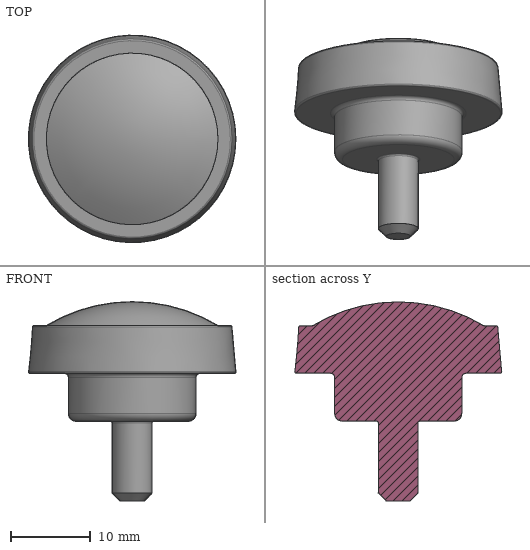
import cadquery as cq
import math

stud_diameter = 5.0
stud_length = 10.0
stud_tip_chamfer = 1.0
stud_root_fillet = 0.2

hub_diameter = 16.0
hub_height = 6.0
hub_edge_fillet = 1.0
hub_root_fillet = 0.5

head_bottom_diameter = 26.0
head_taper_degrees = 5.0
head_height = 6.0
head_edge_fillet = 0.2

cap_diameter = 21.5
cap_height = 3.0

hub_bottom = stud_length
head_bottom = hub_bottom + hub_height
head_top = head_bottom + head_height
cap_top = head_top + cap_height
stud_radius = stud_diameter / 2
hub_radius = hub_diameter / 2
cap_radius = cap_diameter / 2
cap_sphere_radius = (cap_radius**2 + cap_height**2) / (2 * cap_height)

taper_angle = math.radians(head_taper_degrees)
corner_angle = math.pi / 2 - taper_angle
rim_trim = head_edge_fillet * (1 / math.tan(corner_angle / 2) - 1)
head_bottom_radius = head_bottom_diameter / 2 + rim_trim
head_top_radius = head_bottom_radius - head_height * math.tan(taper_angle)


def revolve_about_z(profile):
    return profile.revolve(360, (0, 0), (0, 1))


def make_stud():
    stud = cq.Workplane("XY").circle(stud_radius).extrude(stud_length)
    return stud.faces("<Z").chamfer(stud_tip_chamfer)


def make_hub():
    hub = cq.Workplane("XY").workplane(offset=hub_bottom).circle(hub_radius).extrude(hub_height)
    return hub.faces("<Z").edges().fillet(hub_edge_fillet)


def make_head():
    profile = (
        cq.Workplane("XZ")
        .moveTo(0, head_bottom)
        .lineTo(head_bottom_radius, head_bottom)
        .lineTo(head_top_radius, head_top)
        .lineTo(0, head_top)
        .close()
    )
    head = revolve_about_z(profile)
    return head.faces("<Z or >Z").edges().fillet(head_edge_fillet)


def make_cap():
    """Spherical segment standing on the flat top of the head."""
    half_angle = math.asin(cap_radius / cap_sphere_radius) / 2
    sphere_center = cap_top - cap_sphere_radius
    arc_middle = (
        cap_sphere_radius * math.sin(half_angle),
        sphere_center + cap_sphere_radius * math.cos(half_angle),
    )
    profile = (
        cq.Workplane("XZ")
        .moveTo(0, head_top)
        .lineTo(cap_radius, head_top)
        .threePointArc(arc_middle, (0, cap_top))
        .close()
    )
    return revolve_about_z(profile)


def make_root_fillet(radius, level, fillet_radius):
    """Concave ring joining a shaft to the flat face above it."""
    toward_corner = fillet_radius * (1 - math.sqrt(0.5))
    profile = (
        cq.Workplane("XZ")
        .moveTo(0, level)
        .lineTo(radius + fillet_radius, level)
        .threePointArc(
            (radius + toward_corner, level - toward_corner),
            (radius, level - fillet_radius),
        )
        .lineTo(0, level - fillet_radius)
        .close()
    )
    return revolve_about_z(profile)


result = (
    make_stud()
    .union(make_hub())
    .union(make_head())
    .union(make_cap())
    .union(make_root_fillet(stud_radius, hub_bottom, stud_root_fillet))
    .union(make_root_fillet(hub_radius, head_bottom, hub_root_fillet))
)